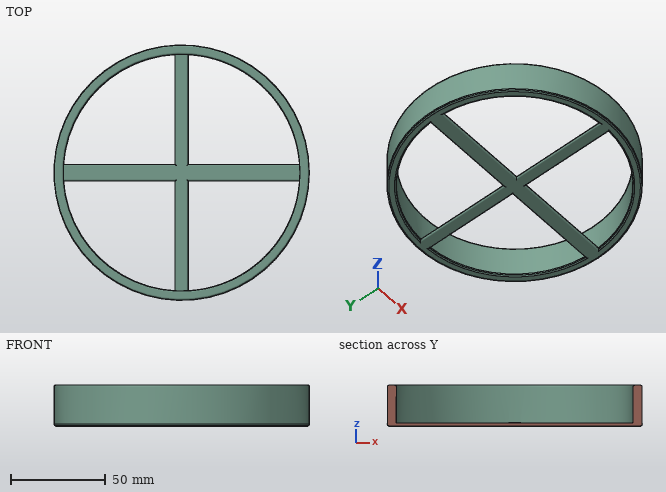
import cadquery as cq

outer_diameter = 135.5
inner_diameter = 125.5
ring_height = 22.0
top_edge_radius = 1.0

bevel_height = 1.2
bevel_inset = 1.0
crease_height = 0.5
crease_inset = 0.3

bar_along_x_width = 9.0
bar_along_y_width = 7.0
bar_thickness = 2.0
bar_edge_radius = 0.87

outer_radius = outer_diameter / 2
inner_radius = inner_diameter / 2
bar_length = outer_radius + inner_radius


def make_ring():
    """Revolved ring: bevelled lower rims and rounded upper rims."""
    profile = (
        cq.Workplane("XZ")
        .moveTo(inner_radius + bevel_inset, 0)
        .lineTo(outer_radius - bevel_inset, 0)
        .lineTo(outer_radius - crease_inset, crease_height)
        .lineTo(outer_radius, bevel_height)
        .lineTo(outer_radius, ring_height)
        .lineTo(inner_radius, ring_height)
        .lineTo(inner_radius, bevel_height)
        .lineTo(inner_radius + crease_inset, crease_height)
        .close()
    )
    ring = profile.revolve(360, (0, 0, 0), (0, 1, 0))
    return ring.faces(">Z").edges().fillet(top_edge_radius)


def make_cross():
    """Two crossed bars with rounded upper and lower edges."""
    bar_along_x = cq.Workplane("XY").rect(bar_length, bar_along_x_width).extrude(bar_thickness)
    bar_along_y = cq.Workplane("XY").rect(bar_along_y_width, bar_length).extrude(bar_thickness)
    cross = bar_along_x.union(bar_along_y)
    return cross.faces("<Z or >Z").edges().fillet(bar_edge_radius)


result = make_ring().union(make_cross())